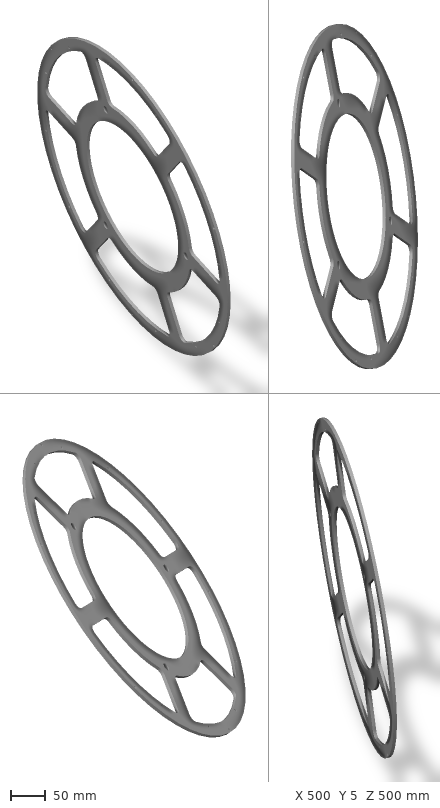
import cadquery as cq
import math

outer_diameter = 500.0
thickness = 5.0
bore_diameter = 240.0

spoke_count = 6
spoke_width = 30.0
hub_radius = 150.0
rim_inner_radius = 230.0
window_corner_radius = 10.0

mount_hole_count = 3
mount_hole_diameter = 12.0
mount_circle_radius = 140.0

rim_hole_diameter = 4.0
inner_rim_hole_count = 12
inner_rim_circle_radius = 235.0
inner_rim_start_angle = 15.0
outer_rim_hole_count = 6
outer_rim_circle_radius = 246.0
outer_rim_start_angle = 30.0


def disc(radius):
    """Solid disc of the plate thickness, centred on the Y = 0 plane."""
    return cq.Workplane("XZ").circle(radius).extrude(thickness / 2, both=True)


def point_beside_spoke(radius, spoke_angle, side):
    """Point at the given radius on one edge of a spoke; side is +1 or -1."""
    angle = math.radians(spoke_angle) + side * math.asin(spoke_width / 2 / radius)
    return (radius * math.cos(angle), radius * math.sin(angle))


def window(first_spoke_angle):
    """Rounded opening between one spoke and the next one counter-clockwise."""
    pitch = 360.0 / spoke_count
    next_spoke_angle = first_spoke_angle + pitch
    middle = math.radians(first_spoke_angle + pitch / 2)
    hub_middle = (hub_radius * math.cos(middle), hub_radius * math.sin(middle))
    rim_middle = (rim_inner_radius * math.cos(middle), rim_inner_radius * math.sin(middle))
    return (
        cq.Workplane("XZ")
        .moveTo(*point_beside_spoke(hub_radius, first_spoke_angle, 1))
        .lineTo(*point_beside_spoke(rim_inner_radius, first_spoke_angle, 1))
        .threePointArc(rim_middle, point_beside_spoke(rim_inner_radius, next_spoke_angle, -1))
        .lineTo(*point_beside_spoke(hub_radius, next_spoke_angle, -1))
        .threePointArc(hub_middle, point_beside_spoke(hub_radius, first_spoke_angle, 1))
        .close()
        .extrude(thickness / 2, both=True)
        .edges("|Y")
        .fillet(window_corner_radius)
    )


def hole_circle(diameter, circle_radius, start_angle, count):
    """Pins, evenly spaced around a circle, that cut a ring of through holes."""
    return (
        cq.Workplane("XZ")
        .polarArray(circle_radius, start_angle, 360, count)
        .circle(diameter / 2)
        .extrude(thickness / 2, both=True)
    )


result = disc(outer_diameter / 2).cut(disc(bore_diameter / 2))

for index in range(spoke_count):
    result = result.cut(window(index * 360.0 / spoke_count))

result = result.cut(hole_circle(mount_hole_diameter, mount_circle_radius, 0, mount_hole_count))
result = result.cut(
    hole_circle(rim_hole_diameter, inner_rim_circle_radius, inner_rim_start_angle, inner_rim_hole_count)
)
result = result.cut(
    hole_circle(rim_hole_diameter, outer_rim_circle_radius, outer_rim_start_angle, outer_rim_hole_count)
)